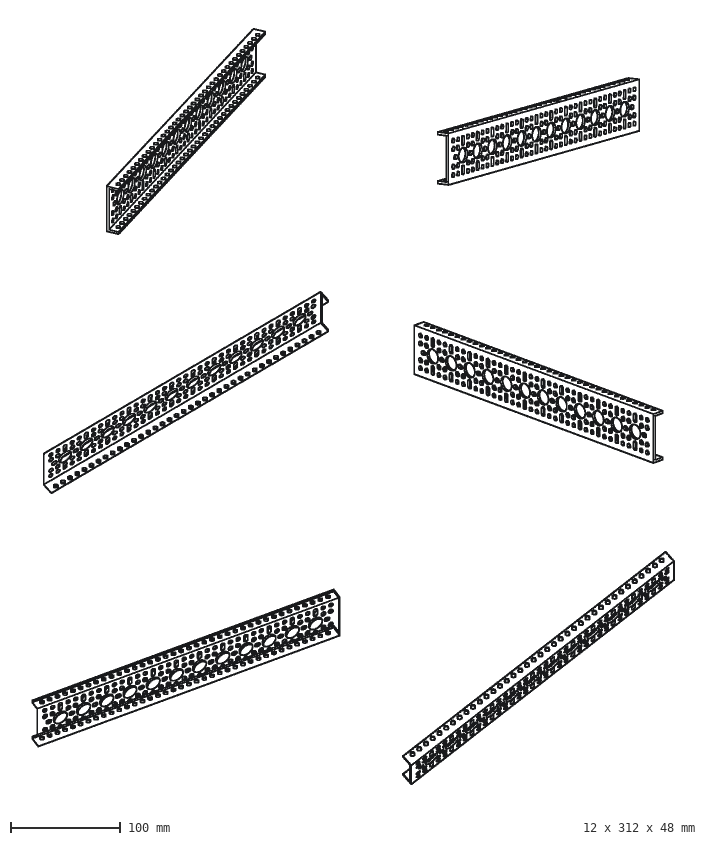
import cadquery as cq
import math

depth = 12.0
length = 312.0
height = 48.0
wall = 2.5

grid = 8.0
columns_per_bore = 3
module = columns_per_bore * grid
small_diameter = 4.0
bore_diameter = 14.0
ring_radius = module / 2
square_radius = grid * math.sqrt(2)
diagonal_angle = 45.0
upright_angle = 90.0
slot_inner_z = square_radius
slot_outer_z = 2 * grid
flange_hole_x = grid

bore_count = round(length / module) - 1
link_count = bore_count + 1
grid_count = round(length / grid) - 1


def centred_row(count, spacing):
    """Positions of evenly spaced features, centred on zero."""
    return [(i - (count - 1) / 2) * spacing for i in range(count)]


bore_places = centred_row(bore_count, module)
link_places = centred_row(link_count, module)
grid_places = centred_row(grid_count, grid)


def make_channel():
    """U-shaped bar, centred on Y and Z, with the web's outer face at X = 0."""
    bar = cq.Workplane("XY").box(depth, length, height, centered=(False, True, True))
    inside = (
        cq.Workplane("XY")
        .box(depth - wall, length, height - 2 * wall, centered=(False, True, True))
        .translate((wall, 0, 0))
    )
    return bar.cut(inside)


def web_small_holes():
    """Outer rows of small holes on the grid columns between the bores."""
    columns = [y for i, y in enumerate(grid_places) if (i + 1) % columns_per_bore != 0]
    points = [(y, side * slot_outer_z) for y in columns for side in (-1, 1)]
    return cq.Workplane("YZ").pushPoints(points).circle(small_diameter / 2).extrude(wall)


def web_diagonal_slots():
    """Short 45 degree slots where the square pattern and the ring of holes overlap."""
    ring_centres = centred_row(bore_count + 2, module)
    ring_offset = ring_radius * math.cos(math.radians(diagonal_angle))
    slot_offset = (grid + ring_offset) / 2
    slot_length = ring_radius - square_radius + small_diameter
    slots = cq.Workplane("YZ")
    for side in (-1, 1):
        columns = [y + side * slot_offset for y in ring_centres]
        columns = [y for y in columns if abs(y) < length / 2]
        for tilt in (-1, 1):
            points = [(y, side * tilt * slot_offset) for y in columns]
            slots = slots.pushPoints(points).slot2D(slot_length, small_diameter, tilt * diagonal_angle)
    return slots.extrude(wall)


def web_link_slots():
    """Short slots on the centre line, midway between the bores and beside the end bores."""
    points = [(y, 0) for y in link_places]
    slot_length = module - 2 * square_radius + small_diameter
    return cq.Workplane("YZ").pushPoints(points).slot2D(slot_length, small_diameter).extrude(wall)


def web_bores():
    """Large bores along the centre line of the web."""
    points = [(y, 0) for y in bore_places]
    return cq.Workplane("YZ").pushPoints(points).circle(bore_diameter / 2).extrude(wall)


def web_slots():
    """Upright slots above and below each bore."""
    slot_z = (slot_inner_z + slot_outer_z) / 2
    slot_length = slot_outer_z - slot_inner_z + small_diameter
    points = [(y, side * slot_z) for y in bore_places for side in (-1, 1)]
    return (
        cq.Workplane("YZ")
        .pushPoints(points)
        .slot2D(slot_length, small_diameter, upright_angle)
        .extrude(wall)
    )


def flange_holes():
    """One row of small holes through both flanges."""
    points = [(flange_hole_x, y) for y in grid_places]
    return (
        cq.Workplane("XY")
        .workplane(offset=-height / 2)
        .pushPoints(points)
        .circle(small_diameter / 2)
        .extrude(height)
    )


result = (
    make_channel()
    .cut(web_small_holes())
    .cut(web_diagonal_slots())
    .cut(web_link_slots())
    .cut(web_bores())
    .cut(web_slots())
    .cut(flange_holes())
)